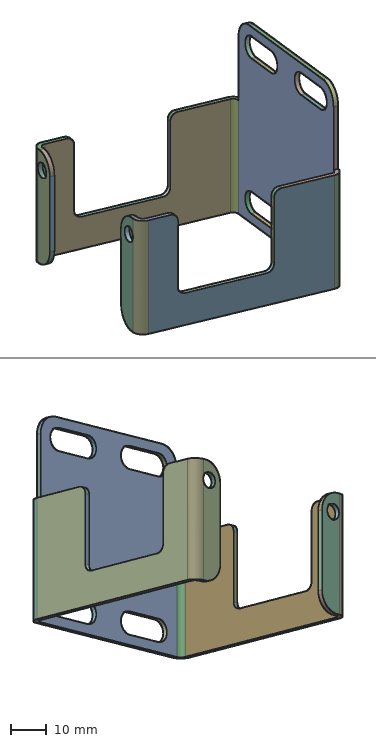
import cadquery as cq

width = 60.2
depth = 66.6
plate_height = 61.0
side_height = 35.3
thickness = 1.5
bend_radius = 3.2

plate_corner_radius = 6.0
slot_length = 18.1
slot_width = 6.8
slot_spacing_x = 28.0
slot_edge_distance = 6.4

lip_length = 10.0
lip_corner_radius = 6.0
hole_diameter = 4.65
hole_inset = 5.6
hole_drop = 5.8

cutout_setback = 22.65
cutout_length = 31.2
cutout_depth = 25.3
cutout_radius = 2.4

back_y = depth / 2
front_y = -depth / 2
inner_width = width - 2 * thickness
inner_depth = depth - 2 * thickness


def rounded_block(x_size, y_size, radius):
    """Block of side-wall height with rounded vertical edges."""
    block = cq.Workplane("XY").rect(x_size, y_size).extrude(side_height)
    return block.edges("|Z").fillet(radius)


def make_folded_strip():
    """Back wall, two side walls and the inturned front lips."""
    outside = rounded_block(width, depth, bend_radius)
    inside = rounded_block(inner_width, inner_depth, bend_radius - thickness)
    front_gap = (
        cq.Workplane("XY")
        .center(0, front_y)
        .rect(width - 2 * lip_length, 2 * bend_radius)
        .extrude(side_height)
    )
    strip = outside.cut(inside).cut(front_gap)
    lip_corners = cq.selectors.BoxSelector(
        (-width / 2 + bend_radius, front_y - thickness, -thickness),
        (width / 2 - bend_radius, front_y + bend_radius, side_height + thickness),
    )
    return strip.edges("|Y").edges(lip_corners).fillet(lip_corner_radius)


def make_back_plate():
    """Flat plate between the back bends, rising above the side walls."""
    plate = (
        cq.Workplane("XY")
        .center(0, back_y - thickness / 2)
        .rect(width - 2 * bend_radius, thickness)
        .extrude(plate_height)
    )
    return plate.edges("|Y and >Z").fillet(plate_corner_radius)


def make_plate_slots():
    """Four horizontal mounting slots through the back plate."""
    heights = (slot_edge_distance, plate_height - slot_edge_distance)
    centres = [(side * slot_spacing_x / 2, z) for side in (-1, 1) for z in heights]
    return (
        cq.Workplane("XZ", origin=(0, back_y, 0))
        .pushPoints(centres)
        .slot2D(slot_length, slot_width)
        .extrude(thickness)
    )


def make_lip_holes():
    """One round hole near the top of each front lip."""
    hole_x = width / 2 - hole_inset
    hole_z = side_height - hole_drop
    return (
        cq.Workplane("XZ", origin=(0, front_y + bend_radius, 0))
        .pushPoints([(-hole_x, hole_z), (hole_x, hole_z)])
        .circle(hole_diameter / 2)
        .extrude(bend_radius)
    )


def make_side_cutout():
    """Open-topped notch through both walls, rounded at its floor and its mouth."""
    rear = back_y - cutout_setback
    front = rear - cutout_length
    floor = side_height - cutout_depth
    mouth = side_height - cutout_radius
    notch = (
        cq.Workplane("YZ", origin=(-width / 2, 0, 0))
        .moveTo(front - cutout_radius, side_height)
        .radiusArc((front, mouth), cutout_radius)
        .lineTo(front, floor + cutout_radius)
        .radiusArc((front + cutout_radius, floor), -cutout_radius)
        .lineTo(rear - cutout_radius, floor)
        .radiusArc((rear, floor + cutout_radius), -cutout_radius)
        .lineTo(rear, mouth)
        .radiusArc((rear + cutout_radius, side_height), cutout_radius)
        .close()
    )
    return notch.extrude(width)


walls = make_folded_strip().cut(make_side_cutout())
result = walls.union(make_back_plate()).cut(make_plate_slots()).cut(make_lip_holes())